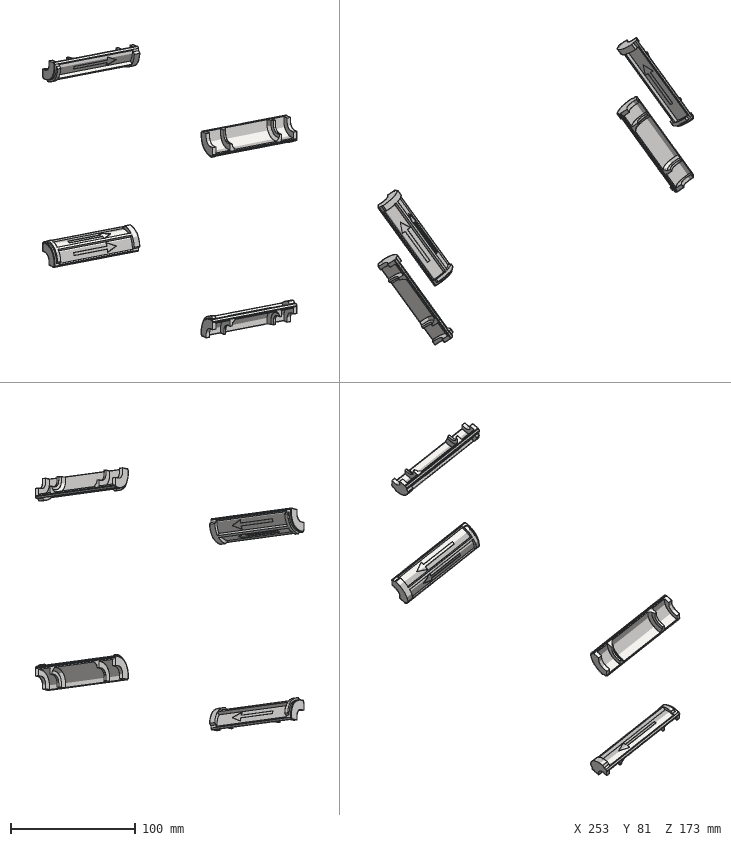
import cadquery as cq
import math

SPAN_X = 253.0
SPAN_Z = 173.0
LENGTH = 81.0

AXIS_INSET = 3.5
LOBE_OFFSET = 1.8
BORE_RADIUS = 6.0
SEAT_RADIUS = 8.5
POCKET_RADIUS = 11.1

PANEL_REACH = 16.5
BODY_REACH = 17.7
COLLAR_REACH = 19.5

LIP_START = 15.7
LIP_HEIGHT = 0.3
EDGE_CHAMFER = 1.3

END_WALL = 3.3
REAR_RIB = 14.7
FRONT_RIB = LENGTH - 17.0
RIB_WIDTH = 1.8
SEAT_STEP = 0.8
RIB_FLARE = 2.3

REAR_COLLAR_WIDTH = 5.3
FRONT_COLLAR_WIDTH = 3.0
FRONT_NECK = 2.0
COLLAR_CUT = 14.5
FRONT_COLLAR = LENGTH - FRONT_NECK - FRONT_COLLAR_WIDTH
FRONT_CHAMFER = 0.5

PANEL_MARGIN = 1.8
PANEL_SIDE_TILT = 30.0
SPINE_WIDTH = 2.0

ARROW_HEIGHT = 0.3
ARROW_OFFSET = 7.8
ARROW_TIP = 20.5
ARROW_LENGTH = 40.5
ARROW_HEAD_LENGTH = 8.5
ARROW_HEAD_WIDTH = 7.5
ARROW_SHAFT_WIDTH = 2.3


def bar(sketch, start, end):
    """Extrude a cross-section between two stations along the length."""
    return cq.Workplane("XY", origin=(0, 0, start)).placeSketch(sketch).extrude(end - start)


def inner_profile(radius):
    """Quarter-round hollow with a tangent flat out to each mating plane."""
    reach = AXIS_INSET + radius
    middle = AXIS_INSET + radius * math.sqrt(0.5)
    return (
        cq.Sketch()
        .segment((0, 0), (reach, 0))
        .segment((reach, AXIS_INSET))
        .arc((middle, middle), (AXIS_INSET, reach))
        .segment((0, reach))
        .close()
        .assemble()
    )


def outer_profile(reach):
    """Two lobes that meet in a ridge on the diagonal, with both free edges chamfered."""
    centre = AXIS_INSET - LOBE_OFFSET
    radius = reach - centre
    ridge = AXIS_INSET + (math.sqrt(2 * radius**2 - LOBE_OFFSET**2) - LOBE_OFFSET) / 2
    half_angle = math.asin((ridge - AXIS_INSET) / radius) / 2
    across = AXIS_INSET + radius * math.sin(half_angle)
    along = centre + radius * math.cos(half_angle)
    return (
        cq.Sketch()
        .segment((0, 0), (reach - EDGE_CHAMFER, 0))
        .segment((reach, EDGE_CHAMFER))
        .segment((reach, AXIS_INSET))
        .arc((along, across), (ridge, ridge))
        .arc((across, along), (AXIS_INSET, reach))
        .segment((EDGE_CHAMFER, reach))
        .segment((0, reach - EDGE_CHAMFER))
        .close()
        .assemble()
    )


def tapered_bar(first, last, start, end):
    """Blend one cross-section evenly into another between two stations."""
    raised = last.moved(cq.Location(cq.Vector(0, 0, end - start)))
    return cq.Workplane("XY", origin=(0, 0, start)).placeSketch(first, raised).loft(ruled=True)


def diagonal_strip():
    """Strip of the spine width along the diagonal, between the two collars."""
    return (
        cq.Workplane("XY", origin=(0, 0, REAR_COLLAR_WIDTH))
        .transformed(rotate=(0, 0, 45))
        .rect(4 * COLLAR_REACH, SPINE_WIDTH)
        .extrude(FRONT_COLLAR - REAR_COLLAR_WIDTH)
    )


def outer_body():
    """Plain outside with a chamfered front rim."""
    rim = LENGTH - FRONT_CHAMFER
    full = outer_profile(BODY_REACH)
    reduced = outer_profile(BODY_REACH - FRONT_CHAMFER)
    return bar(full, 0, rim).union(tapered_bar(full, reduced, rim, LENGTH))


def panel_space():
    """Space over the two panels: tilted sides near the free edges, a spine left between them."""
    length = FRONT_COLLAR - REAR_COLLAR_WIDTH
    slope = math.tan(math.radians(PANEL_SIDE_TILT))
    apex = (PANEL_MARGIN + BODY_REACH * slope) / (1 + slope)
    far = 2 * COLLAR_REACH
    side = apex - (far - apex) * slope
    base = cq.Workplane("XY", origin=(0, 0, REAR_COLLAR_WIDTH))
    wedge = base.polyline([(apex, apex), (far, side), (far, far), (side, far)]).close().extrude(length)
    return wedge.cut(diagonal_strip())


def collar_band(start, end):
    """Band at collar height whose ends are cut off at 45 degrees."""
    far = 2 * COLLAR_REACH
    keep = (
        cq.Workplane("XY", origin=(0, 0, start))
        .polyline([(0, 0), (COLLAR_CUT, 0), (COLLAR_CUT + far, far), (far, COLLAR_CUT + far), (0, COLLAR_CUT)])
        .close()
        .extrude(end - start)
    )
    return bar(outer_profile(COLLAR_REACH), start, end).intersect(keep)


def spine():
    """Raised bar on the diagonal joining the two collars."""
    return collar_band(REAR_COLLAR_WIDTH, FRONT_COLLAR).intersect(diagonal_strip())


def arrows():
    """One raised arrow on each panel."""
    neck = ARROW_TIP + ARROW_HEAD_LENGTH
    tail = ARROW_TIP + ARROW_LENGTH
    head = ARROW_HEAD_WIDTH / 2
    shaft = ARROW_SHAFT_WIDTH / 2
    outline = [
        (0, ARROW_TIP),
        (head, neck),
        (shaft, neck),
        (shaft, tail),
        (-shaft, tail),
        (-shaft, neck),
        (-head, neck),
    ]
    upper = (
        cq.Workplane("XZ", origin=(ARROW_OFFSET, AXIS_INSET, 0))
        .polyline(outline)
        .close()
        .extrude(-COLLAR_REACH)
    )
    both = upper.union(upper.mirror("XZ").rotate((0, 0, 0), (0, 0, 1), 90))
    skin = bar(outer_profile(PANEL_REACH + ARROW_HEIGHT), ARROW_TIP, tail)
    return skin.intersect(both)


def cavity():
    """Through bore and the three pockets between the end walls and the ribs."""
    rear_seat = REAR_RIB + RIB_WIDTH
    front_seat = FRONT_RIB - RIB_WIDTH
    rear_flare = rear_seat + SEAT_STEP
    front_flare = front_seat - SEAT_STEP
    pocket_start = rear_flare + RIB_FLARE
    pocket_end = front_flare - RIB_FLARE
    bore = inner_profile(BORE_RADIUS)
    seat = inner_profile(SEAT_RADIUS)
    pocket = inner_profile(POCKET_RADIUS)
    return (
        bar(bore, 0, LENGTH)
        .union(bar(pocket, END_WALL, REAR_RIB))
        .union(bar(pocket, pocket_start, pocket_end))
        .union(bar(pocket, FRONT_RIB, LENGTH - END_WALL))
        .union(tapered_bar(bore, seat, rear_seat, rear_flare))
        .union(tapered_bar(seat, pocket, rear_flare, pocket_start))
        .union(tapered_bar(seat, bore, front_flare, front_seat))
        .union(tapered_bar(pocket, seat, pocket_end, front_flare))
    )


def mating_setback():
    """Thin layers removed from both mating faces inside the lips."""
    base = cq.Workplane("XY")
    along_x = base.rect(LIP_START, LIP_HEIGHT, centered=False).extrude(LENGTH)
    along_y = base.rect(LIP_HEIGHT, LIP_START, centered=False).extrude(LENGTH)
    return along_x.union(along_y)


def quarter_shell():
    """Shell at the -X, -Z corner, hollow side facing away from the centre."""
    panels = panel_space().cut(bar(outer_profile(PANEL_REACH), 0, LENGTH))
    shell = (
        outer_body()
        .cut(panels)
        .union(arrows())
        .union(collar_band(0, REAR_COLLAR_WIDTH))
        .union(collar_band(FRONT_COLLAR, FRONT_COLLAR + FRONT_COLLAR_WIDTH))
        .union(spine())
        .cut(cavity())
        .cut(mating_setback())
    )
    upright = shell.rotate((0, 0, 0), (1, 0, 0), 90)
    return upright.translate((-SPAN_X / 2, LENGTH / 2, -SPAN_Z / 2))


lower_left = quarter_shell()
lower_pair = [lower_left, lower_left.mirror("YZ")]
shells = lower_pair + [shell.mirror("XY") for shell in lower_pair]

result = cq.Compound.makeCompound([solid for shell in shells for solid in shell.solids().vals()])